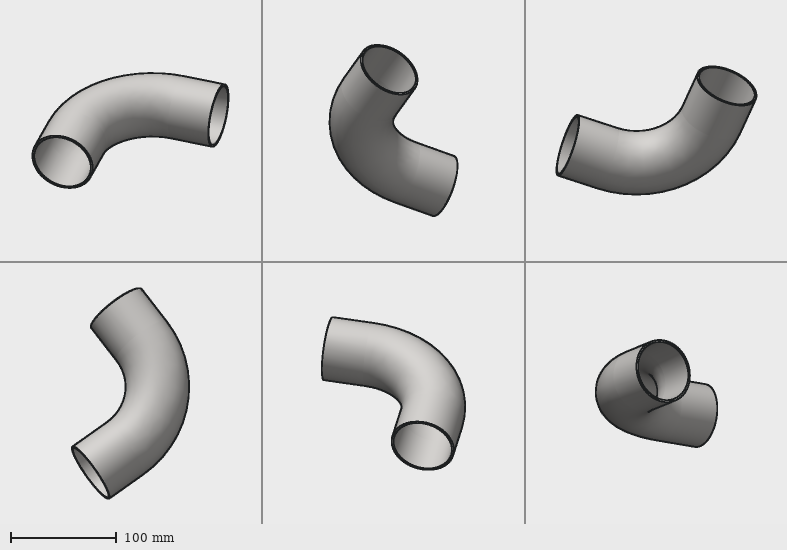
import cadquery as cq

outer_diameter = 60.3
wall_thickness = 2.0
bend_radius = 76.0
bend_angle = 90.0
straight_length = 40.0

inner_diameter = outer_diameter - 2 * wall_thickness

bend_start = (0, straight_length, 0)
bend_end = (bend_radius, straight_length + bend_radius, 0)
inlet_plane = cq.Plane(origin=bend_start, xDir=(1, 0, 0), normal=(0, -1, 0))
outlet_plane = cq.Plane(origin=bend_end, xDir=(0, 1, 0), normal=(1, 0, 0))


def tube_ring(plane):
    """Annular tube section centred on the plane's origin."""
    return cq.Workplane(plane).circle(outer_diameter / 2).circle(inner_diameter / 2)


def straight_tube(plane):
    """Straight tube running along the plane's normal."""
    return tube_ring(plane).extrude(straight_length)


def bend():
    """Curved tube swept from the inlet to the outlet about an axis parallel to Z."""
    return tube_ring(inlet_plane).revolve(
        bend_angle,
        axisStart=(bend_radius, 1, 0),
        axisEnd=(bend_radius, 0, 0),
    )


result = straight_tube(inlet_plane).union(bend()).union(straight_tube(outlet_plane))